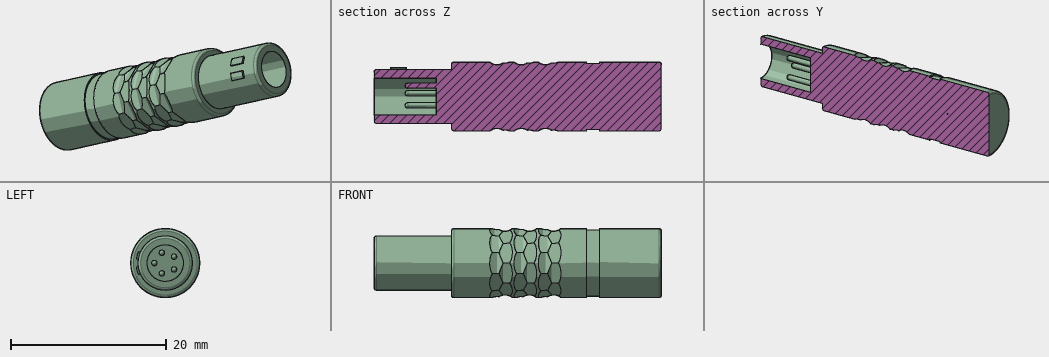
import cadquery as cq
import math

TOTAL_LENGTH = 37.0
BODY_RADIUS = 8.9 / 2
TIP_RADIUS = 7.0 / 2
COLLAR_START = 9.95

EDGE_ROUND = 0.33

GROOVE_START = 27.35
GROOVE_END = 29.0
GROOVE_RADIUS = 8.55 / 2

BORE_RADIUS = 2.35
BORE_DEPTH = 8.0
PIN_COUNT = 5
PIN_RADIUS = 0.35
PIN_LENGTH = 4.0
PIN_CIRCLE_RADIUS = 1.4

KEY_START = 2.15
KEY_LENGTH = 2.0
KEY_RADIUS = 3.75
KEY_HALF_ANGLE = 23.0
KEY_GAP = 1.0
KEY_ROOT_RADIUS = TIP_RADIUS - 0.3

BAND_COUNT = 3
ROWS_PER_BAND = 2
BAND_PITCH = 3.13
FIRST_ROW_X = 15.82
ROW_SPACING = 1.05
DIMPLES_PER_ROW = 10
DIMPLE_FLOOR_RADIUS = 4.11
SCOOP_RADIUS = 1.45
SCOOP_LENGTH = 4.0


def make_body():
    """Revolve the stepped outer profile about the X axis, rounding its three exposed corners."""
    corner_inset = EDGE_ROUND * (1 - math.sqrt(0.5))
    profile = (
        cq.Workplane("XY")
        .lineTo(0, TIP_RADIUS - EDGE_ROUND)
        .threePointArc((corner_inset, TIP_RADIUS - corner_inset), (EDGE_ROUND, TIP_RADIUS))
        .lineTo(COLLAR_START, TIP_RADIUS)
        .lineTo(COLLAR_START, BODY_RADIUS - EDGE_ROUND)
        .threePointArc(
            (COLLAR_START + corner_inset, BODY_RADIUS - corner_inset),
            (COLLAR_START + EDGE_ROUND, BODY_RADIUS),
        )
        .lineTo(GROOVE_START, BODY_RADIUS)
        .lineTo(GROOVE_START, GROOVE_RADIUS)
        .lineTo(GROOVE_END, GROOVE_RADIUS)
        .lineTo(GROOVE_END, BODY_RADIUS)
        .lineTo(TOTAL_LENGTH - EDGE_ROUND, BODY_RADIUS)
        .threePointArc(
            (TOTAL_LENGTH - corner_inset, BODY_RADIUS - corner_inset),
            (TOTAL_LENGTH, BODY_RADIUS - EDGE_ROUND),
        )
        .lineTo(TOTAL_LENGTH, 0)
        .close()
    )
    return profile.revolve(360, (0, 0, 0), (1, 0, 0))


def make_bore():
    """Blind bore entering from the tip face."""
    return cq.Workplane("YZ").circle(BORE_RADIUS).extrude(BORE_DEPTH)


def make_pins():
    """Ring of pins with hemispherical noses, the first one towards +Y."""
    nose_x = BORE_DEPTH - PIN_LENGTH + PIN_RADIUS
    shafts = (
        cq.Workplane("YZ", origin=(nose_x, 0, 0))
        .polarArray(PIN_CIRCLE_RADIUS, 0, 360, PIN_COUNT)
        .circle(PIN_RADIUS)
        .extrude(BORE_DEPTH - nose_x)
    )
    noses = (
        cq.Workplane("YZ", origin=(nose_x, 0, 0))
        .polarArray(PIN_CIRCLE_RADIUS, 0, 360, PIN_COUNT)
        .sphere(PIN_RADIUS)
    )
    return shafts.union(noses)


def make_keys():
    """Ring sector centred on +Y, split into two keys by the gap."""
    half_angle = math.radians(KEY_HALF_ANGLE)

    def polar(radius, angle):
        return radius * math.cos(angle), radius * math.sin(angle)

    sector = (
        cq.Workplane("YZ", origin=(KEY_START, 0, 0))
        .moveTo(*polar(KEY_ROOT_RADIUS, -half_angle))
        .lineTo(*polar(KEY_RADIUS, -half_angle))
        .threePointArc((KEY_RADIUS, 0), polar(KEY_RADIUS, half_angle))
        .lineTo(*polar(KEY_ROOT_RADIUS, half_angle))
        .threePointArc((KEY_ROOT_RADIUS, 0), polar(KEY_ROOT_RADIUS, -half_angle))
        .close()
        .extrude(KEY_LENGTH)
    )
    gap = cq.Workplane("YZ", origin=(KEY_START, 0, 0)).rect(2 * BODY_RADIUS, KEY_GAP).extrude(KEY_LENGTH)
    return sector.cut(gap)


def make_scoops():
    """Tangential cylinders that hollow out every dimple of the grip."""
    pitch_angle = 360 / DIMPLES_PER_ROW
    scoops = []
    for band in range(BAND_COUNT):
        for row in range(ROWS_PER_BAND):
            row_x = FIRST_ROW_X + band * BAND_PITCH + row * ROW_SPACING
            scoop = cq.Solid.makeCylinder(
                SCOOP_RADIUS,
                SCOOP_LENGTH,
                cq.Vector(row_x, -(DIMPLE_FLOOR_RADIUS + SCOOP_RADIUS), -SCOOP_LENGTH / 2),
                cq.Vector(0, 0, 1),
            )
            for index in range(DIMPLES_PER_ROW):
                angle = (index + row / ROWS_PER_BAND) * pitch_angle
                scoops.append(scoop.rotate(cq.Vector(0, 0, 0), cq.Vector(1, 0, 0), angle))
    return scoops


body = make_body().cut(make_bore()).union(make_pins()).union(make_keys())
result = cq.Workplane("XY").newObject(body.val().cut(*make_scoops()).Solids())